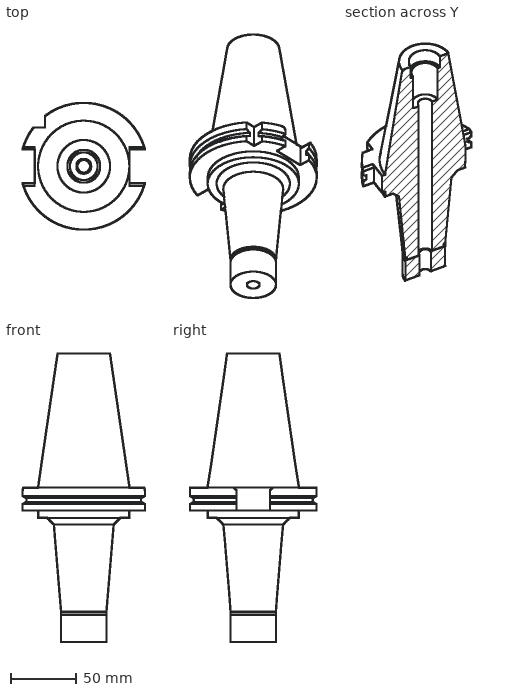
import cadquery as cq
import math

TOTAL_LENGTH = 221.8
GAUGE_Z = 120.0
FLANGE_TOP_Z = 118.6
FLANGE_BOTTOM_Z = 101.0
BOSS_BOTTOM_Z = 95.4
NOSE_BOTTOM_Z = 23.5
RING_TOP_Z = 22.8
RING_BOTTOM_Z = 20.8

GAUGE_RADIUS = 35.0
TAPER_PER_LENGTH = 7 / 24
TAPER_LENGTH = TOTAL_LENGTH - GAUGE_Z
TAPER_TOP_RADIUS = GAUGE_RADIUS - TAPER_LENGTH * TAPER_PER_LENGTH / 2

FLANGE_RADIUS = 48.8
GROOVE_CENTER_Z = 109.0
GROOVE_DEPTH = 2.9
GROOVE_FLOOR_WIDTH = 3.0
GROOVE_FLANK_ANGLE = 30.0
GROOVE_MOUTH_WIDTH = GROOVE_FLOOR_WIDTH + 2 * GROOVE_DEPTH * math.tan(math.radians(GROOVE_FLANK_ANGLE))

SLOT_WIDTH = 26.0
SLOT_CHAMFER = 2.0
LEFT_SLOT_FLOOR = 37.7
RIGHT_SLOT_FLOOR = 35.3

NOTCH_OFFSET = 30.0

BOSS_RADIUS = 35.0
NOSE_TOP_RADIUS = 23.0
NOSE_SHOULDER_RADIUS = 28.2
NOSE_SHOULDER_HEIGHT = NOSE_SHOULDER_RADIUS - NOSE_TOP_RADIUS
NOSE_BOTTOM_RADIUS = 17.5
NECK_RADIUS = 16.0

COUNTERBORE_RADIUS = 12.6
COUNTERBORE_DEPTH = 11.5
THREAD_BORE_RADIUS = 10.6
THREAD_BORE_DEPTH = 44.4
HOLDER_BORE_RADIUS = 5.8
NUT_BORE_RADIUS = 4.9

NUT_RADIUS = 17.5


def cylinder(radius, bottom_z, top_z):
    return cq.Workplane("XY").workplane(offset=bottom_z).circle(radius).extrude(top_z - bottom_z)


def holder_blank():
    """Turned outside of the holder, from the neck up to the top of the taper."""
    groove_floor_radius = FLANGE_RADIUS - GROOVE_DEPTH
    outline = [
        (0, RING_BOTTOM_Z),
        (NECK_RADIUS, RING_BOTTOM_Z),
        (NECK_RADIUS, NOSE_BOTTOM_Z),
        (NOSE_BOTTOM_RADIUS, NOSE_BOTTOM_Z),
        (NOSE_TOP_RADIUS, BOSS_BOTTOM_Z - NOSE_SHOULDER_HEIGHT),
        (NOSE_SHOULDER_RADIUS, BOSS_BOTTOM_Z),
        (BOSS_RADIUS, BOSS_BOTTOM_Z),
        (BOSS_RADIUS, FLANGE_BOTTOM_Z),
        (FLANGE_RADIUS, FLANGE_BOTTOM_Z),
        (FLANGE_RADIUS, GROOVE_CENTER_Z - GROOVE_MOUTH_WIDTH / 2),
        (groove_floor_radius, GROOVE_CENTER_Z - GROOVE_FLOOR_WIDTH / 2),
        (groove_floor_radius, GROOVE_CENTER_Z + GROOVE_FLOOR_WIDTH / 2),
        (FLANGE_RADIUS, GROOVE_CENTER_Z + GROOVE_MOUTH_WIDTH / 2),
        (FLANGE_RADIUS, FLANGE_TOP_Z),
        (GAUGE_RADIUS, FLANGE_TOP_Z),
        (GAUGE_RADIUS, GAUGE_Z),
        (TAPER_TOP_RADIUS, TOTAL_LENGTH),
        (0, TOTAL_LENGTH),
    ]
    return cq.Workplane("XZ").polyline(outline).close().revolve(360, (0, 0), (0, 1))


def drive_slot(side, floor_distance):
    """Cutter for a drive slot on the side (+1 or -1) of X, with chamfered top edges."""
    half_width = SLOT_WIDTH / 2
    chamfer_start_z = FLANGE_TOP_Z - SLOT_CHAMFER
    section = [
        (-half_width, FLANGE_BOTTOM_Z),
        (half_width, FLANGE_BOTTOM_Z),
        (half_width, chamfer_start_z),
        (half_width + SLOT_CHAMFER, FLANGE_TOP_Z),
        (-half_width - SLOT_CHAMFER, FLANGE_TOP_Z),
        (-half_width, chamfer_start_z),
    ]
    return (
        cq.Workplane("YZ")
        .workplane(offset=side * floor_distance)
        .polyline(section)
        .close()
        .extrude(side * FLANGE_RADIUS)
    )


def orientation_notch():
    """Cutter for the square notch through the flange."""
    return (
        cq.Workplane("XY")
        .workplane(offset=FLANGE_BOTTOM_Z)
        .moveTo(-NOTCH_OFFSET, NOTCH_OFFSET)
        .rect(-FLANGE_RADIUS, FLANGE_RADIUS, centered=False)
        .extrude(FLANGE_TOP_Z - FLANGE_BOTTOM_Z)
    )


def make_holder():
    holder = holder_blank()
    holder = holder.cut(drive_slot(-1, LEFT_SLOT_FLOOR))
    holder = holder.cut(drive_slot(1, RIGHT_SLOT_FLOOR))
    holder = holder.cut(orientation_notch())
    holder = holder.cut(cylinder(HOLDER_BORE_RADIUS, RING_BOTTOM_Z, TOTAL_LENGTH))
    holder = holder.cut(cylinder(THREAD_BORE_RADIUS, TOTAL_LENGTH - THREAD_BORE_DEPTH, TOTAL_LENGTH))
    return holder.cut(cylinder(COUNTERBORE_RADIUS, TOTAL_LENGTH - COUNTERBORE_DEPTH, TOTAL_LENGTH))


def make_ring():
    """Ring around the neck, resting on the nut with a narrow gap to the nose above."""
    return cylinder(NUT_RADIUS, RING_BOTTOM_Z, RING_TOP_Z).cut(
        cylinder(NECK_RADIUS, RING_BOTTOM_Z, RING_TOP_Z)
    )


def make_nut():
    return cylinder(NUT_RADIUS, 0, RING_BOTTOM_Z).cut(cylinder(NUT_BORE_RADIUS, 0, RING_BOTTOM_Z))


holder = make_holder()
ring = make_ring()
nut = make_nut()

result = cq.Compound.makeCompound([holder.val(), ring.val(), nut.val()])